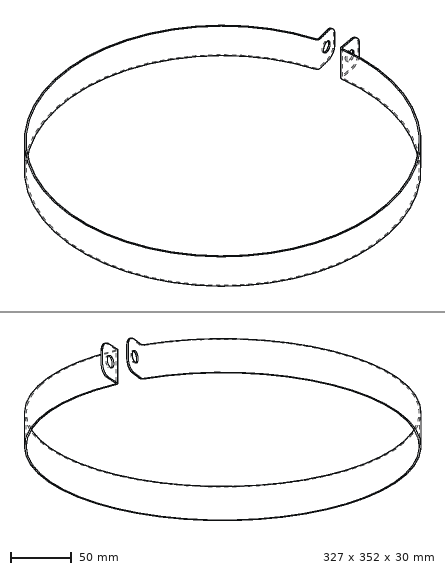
import cadquery as cq

overall_width = 327.0
overall_length = 352.0
band_height = 30.0
sheet_thickness = 1.5

gap_half_width_at_ring = 10.2
gap_half_width_at_tip = 11.3

ear_corner_radius = 10.0
hole_diameter = 10.5
hole_to_tip = 13.0
bend_inner_radius = 1.5

outer_radius = overall_width / 2
inner_radius = outer_radius - sheet_thickness
tip_y = overall_length - outer_radius
bend_outer_radius = bend_inner_radius + sheet_thickness


def tapered_block(widening):
    """Block between the ears, widened equally on both sides."""
    root_x = gap_half_width_at_ring + widening
    tip_x = gap_half_width_at_tip + widening
    root_y = inner_radius - sheet_thickness
    outline = [(-root_x, root_y), (root_x, root_y), (tip_x, tip_y), (-tip_x, tip_y)]
    return cq.Workplane("XY").polyline(outline).close().extrude(band_height)


def round_bends(body):
    """Round both sides of the folds joining the ring to the ears."""
    for radius_at_fold, widening, bend_radius in (
        (inner_radius, 0, bend_outer_radius),
        (outer_radius, sheet_thickness, bend_inner_radius),
    ):
        fold_x = gap_half_width_at_ring + widening
        for side in (-1, 1):
            fold_point = (side * fold_x, radius_at_fold, band_height / 2)
            fold_edge = cq.selectors.NearestToPointSelector(fold_point)
            body = body.edges("|Z").edges(fold_edge).fillet(bend_radius)
    return body


def ear_trim():
    """Envelope that rounds the ear tips and leaves the ring untouched."""
    return (
        cq.Workplane("XY")
        .box(overall_width, overall_length, band_height, centered=(True, False, False))
        .translate((0, -outer_radius, 0))
        .edges(">Y and |X")
        .fillet(ear_corner_radius)
    )


def ear_holes():
    """One straight bore through both ears."""
    return (
        cq.Workplane("YZ")
        .center(tip_y - hole_to_tip, band_height / 2)
        .circle(hole_diameter / 2)
        .extrude(outer_radius, both=True)
    )


outer_disc = cq.Workplane("XY").circle(outer_radius).extrude(band_height)
inner_disc = cq.Workplane("XY").circle(inner_radius).extrude(band_height)

clamp = outer_disc.union(tapered_block(sheet_thickness))
clamp = clamp.cut(inner_disc).cut(tapered_block(0))
clamp = round_bends(clamp)
result = clamp.intersect(ear_trim()).cut(ear_holes())